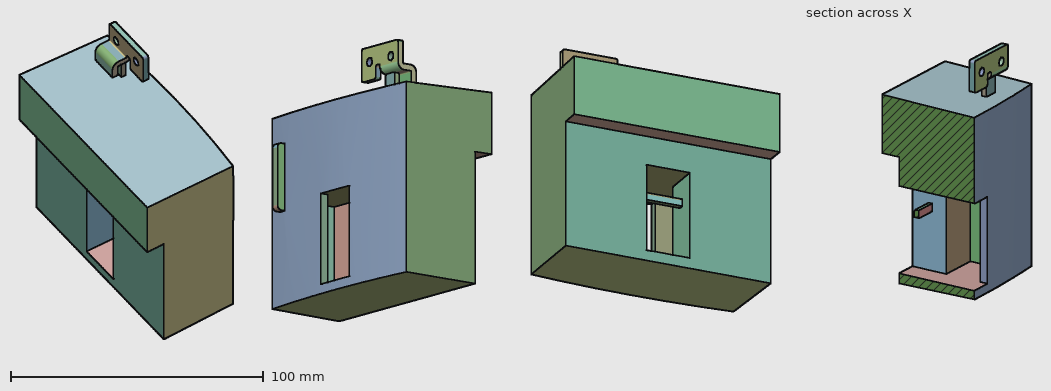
import cadquery as cq
import math

WIDTH = 90.0
HEIGHT = 78.3
SIDE_DEPTH = 41.6
CROWN_DEPTH = 43.9
OVERHANG = 8.1
STEP_Z = 53.4
DRAFT = math.tan(math.radians(1.0))

WINDOW_WIDTH = 18.8
WINDOW_BOTTOM = 4.5
WINDOW_TOP = 41.2
CAVITY_WIDTH = 53.4
CAVITY_FRONT = 24.2
CAVITY_REAR = 40.3

BAR_Y = 15.1
BAR_THICKNESS = 2.3
BAR_BOTTOM = 29.5
BAR_TOP = 32.9
BAR_ROUND = 1.1

FIN_X = 34.9
FIN_THICKNESS = 3.3
FIN_REAR = 46.0
FIN_ROOT = 38.8
FIN_BOTTOM = 38.7
FIN_TOP = 65.9
FIN_ROUND = 1.9

SHEET = 2.5
BEND_INNER = 0.5
BEND_OUTER = BEND_INNER + SHEET
BRACKET_LEFT = -33.4
BRACKET_RIGHT = -9.4
BRACKET_TOP = 97.1
BRACKET_REAR = 37.7
PLATE_FRONT = BRACKET_REAR - SHEET
LIP_FRONT = 28.5
LIP_REAR = LIP_FRONT + SHEET
LIP_BOTTOM = 80.2
SHELF_BOTTOM = 85.1
SHELF_TOP = SHELF_BOTTOM + SHEET
ARM_RIGHT = -21.4
NOTCH_RIGHT = -18.6
NOTCH_TOP = 89.1
TAB_BOTTOM = 83.6
CORNER_ROUND = 1.0
HOLE_DIAMETER = 3.4
HOLE_Z = 91.1
HOLE_XS = (-28.5, -14.6)

TONGUE_LEFT = -28.0
TONGUE_RIGHT = -21.6
TONGUE_REAR = PLATE_FRONT
TONGUE_THICKNESS = 2.1
TONGUE_ROOT = 75.7
TONGUE_ROUND = 1.2


def block(x0, x1, y0, y1, z0, z1):
    """Box between two opposite corners."""
    return cq.Workplane("XY").box(x1 - x0, y1 - y0, z1 - z0, centered=False).translate((x0, y0, z0))


def make_shell():
    """Stepped, drafted block with a crowned rear face."""
    top_rear_z = HEIGHT - CROWN_DEPTH * DRAFT
    bottom_rear_z = (CROWN_DEPTH - OVERHANG) * DRAFT
    side_profile = (
        cq.Workplane("YZ")
        .polyline([
            (0, STEP_Z),
            (0, HEIGHT),
            (CROWN_DEPTH, top_rear_z),
            (CROWN_DEPTH, bottom_rear_z),
            (OVERHANG, 0),
            (OVERHANG, STEP_Z),
        ])
        .close()
        .extrude(WIDTH / 2, both=True)
    )
    half_rear = WIDTH / 2 - SIDE_DEPTH * DRAFT
    plan = (
        cq.Workplane("XY")
        .moveTo(-WIDTH / 2, 0)
        .lineTo(WIDTH / 2, 0)
        .lineTo(half_rear, SIDE_DEPTH)
        .threePointArc((0, CROWN_DEPTH), (-half_rear, SIDE_DEPTH))
        .close()
        .extrude(HEIGHT)
    )
    return side_profile.intersect(plan)


def make_bar():
    """Bar spanning the window, rounded along its upper front edge."""
    half = WINDOW_WIDTH / 2
    bar = block(-half, half, BAR_Y, BAR_Y + BAR_THICKNESS, BAR_BOTTOM, BAR_TOP)
    return bar.edges("|X and >Z and <Y").fillet(BAR_ROUND)


def make_fin():
    """Rear fin with rounded outer corners."""
    fin = block(FIN_X, FIN_X + FIN_THICKNESS, FIN_ROOT, FIN_REAR, FIN_BOTTOM, FIN_TOP)
    return fin.edges("|X and >Y").fillet(FIN_ROUND)


def make_tongue():
    """Upright tongue with rounded top corners."""
    tongue = block(
        TONGUE_LEFT, TONGUE_RIGHT,
        TONGUE_REAR - TONGUE_THICKNESS, TONGUE_REAR,
        TONGUE_ROOT, SHELF_BOTTOM,
    )
    return tongue.edges("|Y and >Z").fillet(TONGUE_ROUND)


def make_housing():
    half_window = WINDOW_WIDTH / 2
    half_cavity = CAVITY_WIDTH / 2
    window = block(-half_window, half_window, 0, CROWN_DEPTH, WINDOW_BOTTOM, WINDOW_TOP)
    cavity = block(-half_cavity, half_cavity, CAVITY_FRONT, CAVITY_REAR, WINDOW_BOTTOM, WINDOW_TOP)
    shell = make_shell().cut(window).cut(cavity)
    return shell.union(make_bar()).union(make_fin()).union(make_tongue())


def make_bracket_arm():
    """Bent strip: plate, shelf and lip of constant thickness."""
    return (
        cq.Workplane("YZ", origin=(BRACKET_LEFT, 0, 0))
        .moveTo(BRACKET_REAR, BRACKET_TOP)
        .lineTo(PLATE_FRONT, BRACKET_TOP)
        .lineTo(PLATE_FRONT, SHELF_TOP + BEND_INNER)
        .radiusArc((PLATE_FRONT - BEND_INNER, SHELF_TOP), BEND_INNER)
        .lineTo(LIP_FRONT + BEND_OUTER, SHELF_TOP)
        .radiusArc((LIP_FRONT, SHELF_TOP - BEND_OUTER), -BEND_OUTER)
        .lineTo(LIP_FRONT, LIP_BOTTOM)
        .lineTo(LIP_REAR, LIP_BOTTOM)
        .lineTo(LIP_REAR, SHELF_BOTTOM - BEND_INNER)
        .radiusArc((LIP_REAR + BEND_INNER, SHELF_BOTTOM), BEND_INNER)
        .lineTo(BRACKET_REAR - BEND_OUTER, SHELF_BOTTOM)
        .radiusArc((BRACKET_REAR, SHELF_BOTTOM + BEND_OUTER), -BEND_OUTER)
        .close()
        .extrude(ARM_RIGHT - BRACKET_LEFT)
    )


def make_bracket():
    plate = block(ARM_RIGHT, BRACKET_RIGHT, PLATE_FRONT, BRACKET_REAR, TAB_BOTTOM, BRACKET_TOP)
    notch = block(ARM_RIGHT, NOTCH_RIGHT, PLATE_FRONT, BRACKET_REAR, TAB_BOTTOM, NOTCH_TOP)
    notch = notch.edges("|Y and >Z").fillet(CORNER_ROUND)
    plate = plate.cut(notch).edges("|Y and <Z").fillet(CORNER_ROUND)
    bracket = make_bracket_arm().union(plate)
    bracket = bracket.edges("|Y and >Z").fillet(CORNER_ROUND)
    for x in HOLE_XS:
        hole = (
            cq.Workplane("XZ", origin=(x, BRACKET_REAR, HOLE_Z))
            .circle(HOLE_DIAMETER / 2)
            .extrude(SHEET)
        )
        bracket = bracket.cut(hole)
    return bracket


housing = make_housing()
bracket = make_bracket()
result = cq.Compound.makeCompound([housing.val(), bracket.val()])